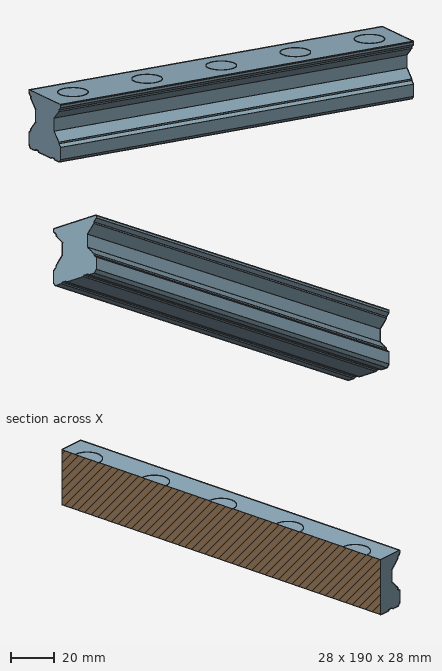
import cadquery as cq

rail_length = 190.0
rail_width = 28.0
rail_height = 28.0
half_width = rail_width / 2

half_web = 8.2
web_top = 20.0
web_bottom = 13.7
half_flank = 12.4
flank_rise = half_flank - half_web
step_height = 0.8

head_step_bottom = web_top + flank_rise
head_step_top = head_step_bottom + step_height
head_side_bottom = 26.5
head_chamfer = 0.4

base_step_top = web_bottom - flank_rise
base_step_bottom = base_step_top - step_height
base_side_top = 7.5
base_chamfer_height = 1.5
base_chamfer_width = 1.3

groove_inner_x = 5.5
groove_outer_x = 8.7
groove_taper = 0.5
groove_depth = 0.5

cap_diameter = 14.0
cap_recess = 0.1
cap_count = 5
cap_pitch = 39.9


def rail_body():
    """Extrude the symmetric rail section along Y, centred on the origin."""
    right_side = [
        (groove_inner_x, 0),
        (groove_inner_x + groove_taper, groove_depth),
        (groove_outer_x - groove_taper, groove_depth),
        (groove_outer_x, 0),
        (half_width - base_chamfer_width, 0),
        (half_width, base_chamfer_height),
        (half_width, base_side_top),
        (half_flank, base_step_bottom),
        (half_flank, base_step_top),
        (half_web, web_bottom),
        (half_web, web_top),
        (half_flank, head_step_bottom),
        (half_flank, head_step_top),
        (half_width, head_side_bottom),
        (half_width, rail_height - head_chamfer),
        (half_width - head_chamfer, rail_height),
    ]
    left_side = [(-x, z) for x, z in reversed(right_side)]
    section = cq.Workplane("XZ").polyline(right_side + left_side).close()
    return section.extrude(rail_length / 2, both=True)


def cap_recesses():
    """Row of shallow discs sunk into the top face."""
    return (
        cq.Workplane("XY")
        .workplane(offset=rail_height - cap_recess)
        .rarray(1.9, cap_pitch, 1, cap_count)
        .circle(cap_diameter / 2)
        .extrude(cap_recess)
    )


result = rail_body().cut(cap_recesses())